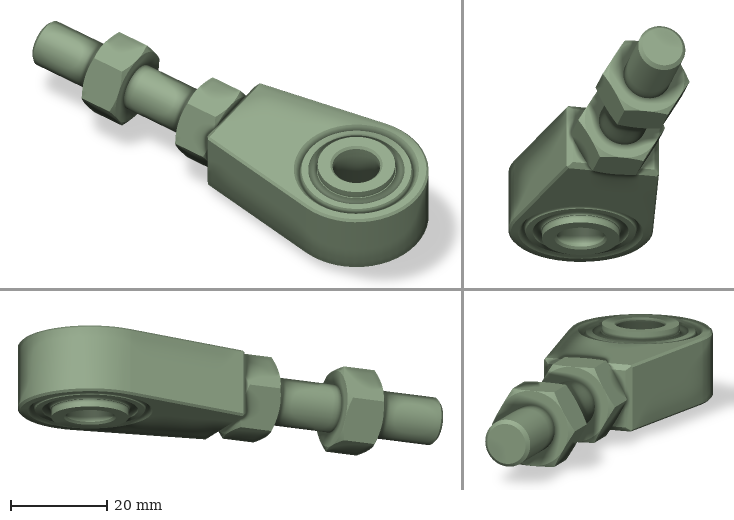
import cadquery as cq
import math


total_length = 93.5
eye_diameter = 30.0
eye_radius = eye_diameter / 2
eye_x = total_length - eye_radius

shank_radius = 5.0
shank_chamfer = 0.75

body_start_x = 46.9
body_height = 14.2
taper_angle = math.radians(10)
rim_chamfer = 0.5
end_chamfer = 1.0

nut_across_flats = 16.0
nut_thickness = 8.4
nut_chamfer_angle = math.radians(30)
nut_start_positions = [15.1, body_start_x - nut_thickness]

race_radius = 11.9
race_height = 13.8
race_chamfer_width = 0.5
race_chamfer_depth = 0.9
ball_radius = 9.5
sleeve_radius = 8.0
sleeve_height = 17.0
bore_radius = 5.0
bore_chamfer = 0.5

seal_radius = 10.0
seal_lip = 0.2
seal_floor_z = math.sqrt(ball_radius**2 - sleeve_radius**2)
seal_groove_radius = (seal_radius - sleeve_radius - seal_lip) / 2
seal_groove_centre = seal_radius - seal_groove_radius

countersink_depth = body_height / 2 - (race_height / 2 - race_chamfer_depth)


def upright_cylinder(radius, height):
    """Cylinder about the eye axis, centred on the XY plane."""
    return cq.Workplane("XY").center(eye_x, 0).circle(radius).extrude(height / 2, both=True)


def x_cylinder(radius, start_x, length):
    """Cylinder along the shank axis."""
    return cq.Workplane("YZ", origin=(start_x, 0, 0)).circle(radius).extrude(length)


def ball_sphere():
    """Full sphere at the eye centre, shared by the ball and its seat."""
    return cq.Workplane("XY").sphere(ball_radius).translate((eye_x, 0, 0))


def make_eye_body():
    """Tapered eye with its plain shank, bored and countersunk for the race."""
    tangent_x = eye_x - eye_radius * math.sin(taper_angle)
    tangent_y = eye_radius * math.cos(taper_angle)
    end_y = tangent_y - (tangent_x - body_start_x) * math.tan(taper_angle)
    eye = (
        cq.Workplane("XY", origin=(0, 0, -body_height / 2))
        .moveTo(body_start_x, -end_y)
        .lineTo(tangent_x, -tangent_y)
        .threePointArc((total_length, 0), (tangent_x, tangent_y))
        .lineTo(body_start_x, end_y)
        .close()
        .extrude(body_height)
    )
    eye = eye.faces("<X").edges().chamfer(end_chamfer)
    eye = eye.faces("|Z").edges("not(|Y)").chamfer(rim_chamfer)

    shank = x_cylinder(shank_radius, 0, body_start_x).faces("<X").chamfer(shank_chamfer)
    race_seat = upright_cylinder(race_radius, body_height)
    eye = eye.cut(race_seat)
    seat_edges = eye.faces("|Z").edges(cq.selectors.RadiusNthSelector(0))
    eye = seat_edges.chamfer(countersink_depth)
    return eye.union(shank)


def make_nut(start_x):
    """Hexagon nut with flats at top and bottom, chamfered corners and a plain bore."""
    corner_radius = nut_across_flats / 2 / math.cos(math.pi / 6)
    corner_drop = (corner_radius - nut_across_flats / 2) * math.tan(nut_chamfer_angle)
    hexagon = (
        cq.Workplane("YZ", origin=(start_x, 0, 0))
        .polygon(6, 2 * corner_radius)
        .extrude(nut_thickness)
    )
    turned_blank = (
        cq.Workplane("XY")
        .moveTo(start_x, 0)
        .lineTo(start_x, nut_across_flats / 2)
        .lineTo(start_x + corner_drop, corner_radius)
        .lineTo(start_x + nut_thickness - corner_drop, corner_radius)
        .lineTo(start_x + nut_thickness, nut_across_flats / 2)
        .lineTo(start_x + nut_thickness, 0)
        .close()
        .revolve(360, (0, 0, 0), (1, 0, 0))
    )
    return hexagon.intersect(turned_blank).cut(x_cylinder(shank_radius, start_x, nut_thickness))


def make_race():
    """Outer race with a spherical seat and a recess for a seal at each end."""
    face_z = race_height / 2
    shoulder_z = face_z - race_chamfer_depth
    face_radius = race_radius - race_chamfer_width
    race = (
        cq.Workplane("XZ", origin=(eye_x, 0, 0))
        .moveTo(0, -face_z)
        .lineTo(face_radius, -face_z)
        .lineTo(race_radius, -shoulder_z)
        .lineTo(race_radius, shoulder_z)
        .lineTo(face_radius, face_z)
        .lineTo(0, face_z)
        .close()
        .revolve(360, (0, 0, 0), (0, 1, 0))
    )
    recesses = upright_cylinder(seal_radius, race_height).cut(
        upright_cylinder(seal_radius, 2 * seal_floor_z)
    )
    return race.cut(ball_sphere()).cut(recesses)


def make_ball():
    """Ball with a sleeve on both sides and a chamfered through bore."""
    ball = ball_sphere().intersect(upright_cylinder(ball_radius, 2 * seal_floor_z))
    ball = ball.union(upright_cylinder(sleeve_radius, sleeve_height))
    ball = ball.cut(upright_cylinder(bore_radius, sleeve_height))
    return ball.faces("|Z").edges(cq.selectors.RadiusNthSelector(0)).chamfer(bore_chamfer)


def make_seal(side):
    """Seal ring with a half-round groove in its outer face; side is +1 above, -1 below."""
    face_z = side * race_height / 2
    floor_z = side * seal_floor_z
    return (
        cq.Workplane("XZ", origin=(eye_x, 0, 0))
        .moveTo(sleeve_radius, floor_z)
        .lineTo(seal_radius, floor_z)
        .lineTo(seal_radius, face_z)
        .threePointArc(
            (seal_groove_centre, face_z - side * seal_groove_radius),
            (sleeve_radius + seal_lip, face_z),
        )
        .lineTo(sleeve_radius, face_z)
        .close()
        .revolve(360, (0, 0, 0), (0, 1, 0))
    )


eye_body = make_eye_body()
nuts = [make_nut(start_x) for start_x in nut_start_positions]
race = make_race()
ball = make_ball()
seals = [make_seal(side) for side in (1, -1)]

result = cq.Compound.makeCompound(
    [
        eye_body.val(),
        *[nut.val() for nut in nuts],
        race.val(),
        ball.val(),
        *[seal.val() for seal in seals],
    ]
)